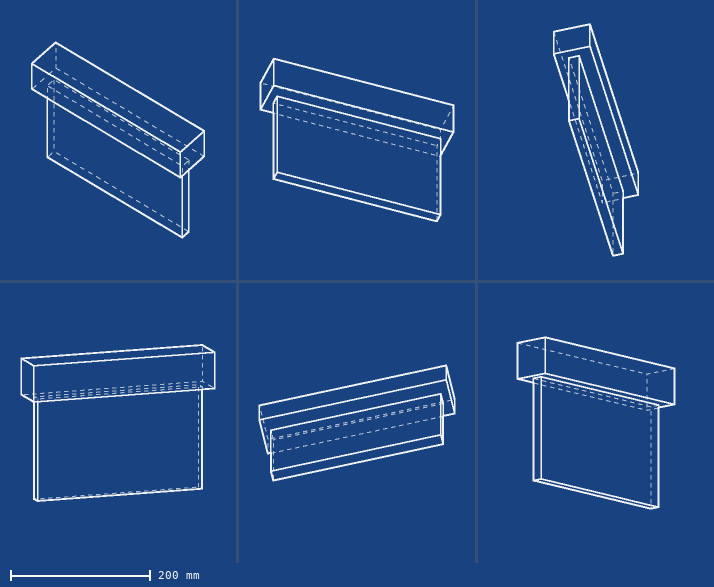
import cadquery as cq

bar_length = 275.0
bar_depth = 54.0
bar_height = 53.0

overall_height = 203.0
panel_length = 250.0
panel_thickness = 15.0
panel_height = overall_height - bar_height

bar = cq.Workplane("XY").rect(bar_length, bar_depth).extrude(bar_height)
panel = cq.Workplane("XY").rect(panel_length, panel_thickness).extrude(-panel_height)

result = bar.union(panel)